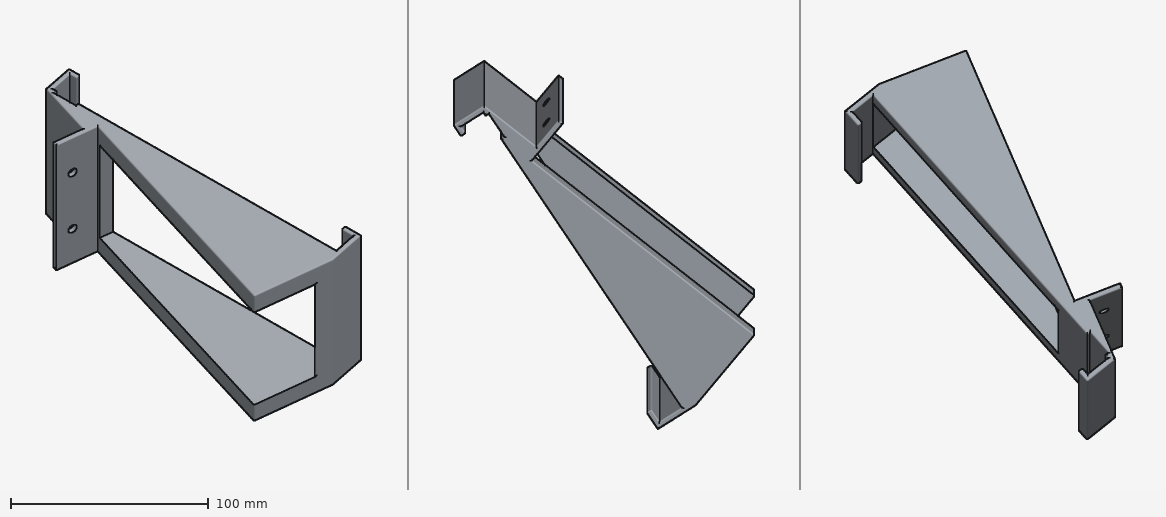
import cadquery as cq
import math

length = 187.5
depth = 94.3
height = 90.0
tilt = math.radians(18)
wall = 3.0
edge_round = 0.85

plate_left = 39.5
plate_right = plate_left + wall
body_bottom = 25.0
toe_bottom = 17.8
hole_diameter = 5.0
hole_spacing = 40.1
hole_y = 10.0

lip_top = 34.0
lip_under = lip_top - wall
tray_level = 17.6
groove_level = 15.7
groove_start = 16.0
groove_end = 30.0
low_lip_end = 18.0
high_lip_end = 190.2

round_center_v = lip_top - edge_round
low_outer = (edge_round + round_center_v * math.sin(tilt)) / math.cos(tilt) - edge_round
low_inner = low_outer + wall
high_outer = (depth - lip_top * math.cos(tilt)) / math.sin(tilt)
high_inner = high_outer - wall

flange = 12.0
window_left = 44.6
window_step = 0.4
window_end = high_inner - window_step


def tilted(u, v):
    """Point given along and square to the tilted tray."""
    return (u * math.cos(tilt) - v * math.sin(tilt), u * math.sin(tilt) + v * math.cos(tilt))


def tilted_at_y(u, y):
    """Point at height y on the line square to the tray at u."""
    return tilted(u, (y - u * math.sin(tilt)) / math.cos(tilt))


def tilted_at_x(u, x):
    """Point at position x on the line square to the tray at u."""
    return tilted(u, (u * math.cos(tilt) - x) / math.sin(tilt))


def make_body():
    outline = [
        tilted_at_y(low_outer, toe_bottom),
        (plate_left, toe_bottom),
        (plate_left, 0),
        (plate_right, 0),
        (plate_right, body_bottom),
        (length, body_bottom),
        tilted_at_x(high_outer, length),
        tilted(high_outer, lip_top),
        tilted(high_lip_end, lip_top),
        tilted(high_lip_end, lip_under),
        tilted(high_inner, lip_under),
        tilted(high_inner, tray_level),
        tilted(groove_end, tray_level),
        tilted(groove_end, groove_level),
        tilted(groove_start, groove_level),
        tilted(groove_start, tray_level),
        tilted(low_inner, tray_level),
        tilted(low_inner, lip_under),
        tilted(low_lip_end, lip_under),
        tilted(low_lip_end, lip_top),
        tilted(low_outer, lip_top),
    ]
    body = cq.Workplane("XY").polyline(outline).close().extrude(height)
    rounded_corners = [
        (length, body_bottom),
        tilted(low_outer, lip_top),
        tilted(low_lip_end, lip_under),
        tilted(low_lip_end, lip_top),
        tilted(high_lip_end, lip_under),
        tilted(high_lip_end, lip_top),
    ]
    for x, y in rounded_corners:
        corner = cq.selectors.NearestToPointSelector((x, y, height / 2))
        body = body.edges(corner).fillet(edge_round)
    return body.faces("<Z or >Z").edges().fillet(edge_round)


def make_window():
    outline = [
        (window_left, 0),
        (length, 0),
        tilted_at_x(window_end, length),
        tilted(window_end, tray_level),
        (window_left, tilted(window_end, tray_level)[1]),
    ]
    window = cq.Workplane("XY").polyline(outline).close().extrude(height - 2 * flange)
    return window.translate((0, 0, flange))


def make_holes():
    return (
        cq.Workplane("YZ", origin=(plate_left - wall, hole_y, height / 2))
        .rarray(1.9, hole_spacing, 1, 2)
        .circle(hole_diameter / 2)
        .extrude(3 * wall)
    )


result = make_body().cut(make_window()).cut(make_holes())